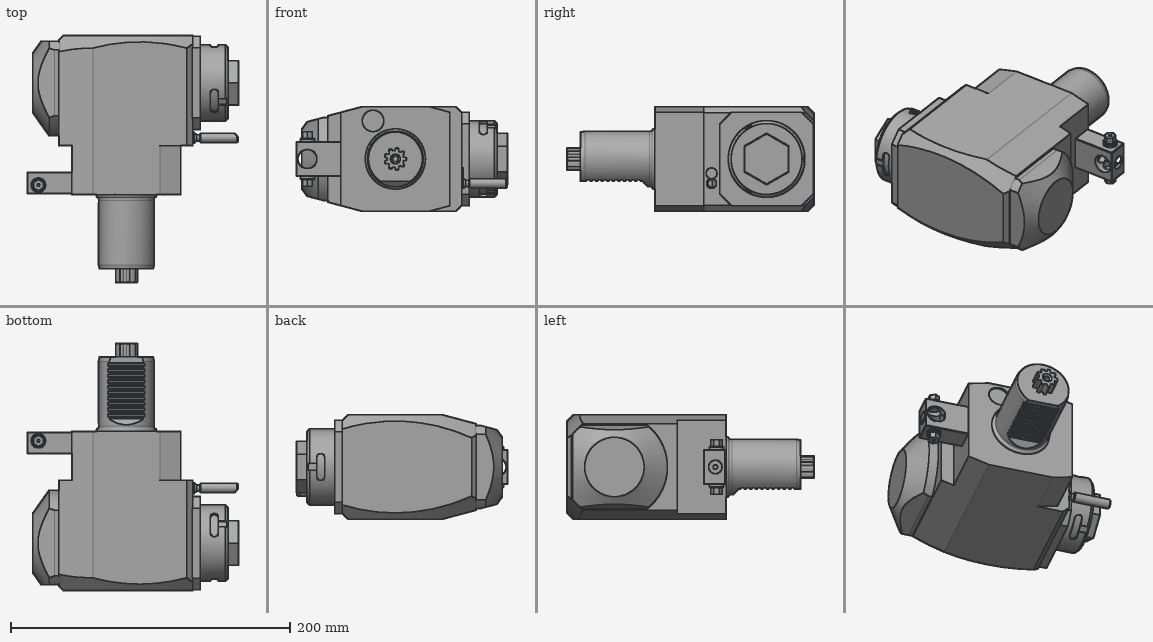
import cadquery as cq
import math


BODY_HALF_HEIGHT = 37.5
BACK_Y = 114.0
STEP_Y = 35.0
BLOCK_HALF_WIDTH = 39.0
HEAD_LEFT_X = -48.3
HEAD_RIGHT_X = 47.7
TAPER_START_X = 24.0
TAPER_SLOPE = math.tan(math.radians(15))
HEAD_CHAMFER = 4.4
LEFT_BACK_CHAMFER = 3.2
BARREL_RADIUS = 180.0
BARREL_MID_X = 9.5
BARREL_EDGE_LEG = 4.6

SPINDLE_Y = 80.0
CAP_RADIUS = 38.0
CAP_FACE_RADIUS = 21.3
CAP_CONE_X = -55.3
CAP_FACE_X = -67.1
CAP_BACK_Y = 110.0
CAP_HALF_HEIGHT = 29.8
CAP_TAPER_X = -51.5

PLATE_BACK_GAP = 0.5
PLATE_HALF = BACK_Y - SPINDLE_Y - PLATE_BACK_GAP
PLATE_CHAMFER = 8.4
PLATE_X = 53.1
NUT_RADIUS = 27.5
NUT_X = 72.9
NUT_CHAMFER = 2.1
HEX_FLATS = 32.0
HEX_X = 80.5
HEX_EDGE_CHAMFER = 0.4
SLOT_X = 63.0
SLOT_WIDTH = 5.5
SLOT_SPAN = 41.0
SLOT_DEPTH = 1.9
KEY_WIDTH = 5.0
KEY_DEPTH = 1.0
SLOT_ANGLES = (30, 150, 270)

PIN_Y = 40.6
PIN_Z = -17.5
PIN_RADIUS = 3.5
PIN_BASE_END_X = 50.4
PIN_NECK_RADIUS = 2.3
PIN_BODY_X = 53.3
PIN_END_X = 80.0
PIN_CHAMFER = 0.8
PIN_FLAT_LENGTH = 2.6
PIN_FLAT_DEPTH = 2.9
PLUG_Z = -10.3
PLUG_RADIUS = 3.9
PLUG_HEIGHT = 1.0

COOLANT_LEFT_X = -71.0
COOLANT_FRONT_Y = 0.6
COOLANT_BACK_Y = 16.0
COOLANT_HALF_HEIGHT = 12.5
COOLANT_EDGE = 0.4
COOLANT_HOLE_X = -63.0
COOLANT_HOLE_RADIUS = 6.8
INLET_Y = 7.7
INLET_RADIUS = 4.8
INLET_DEPTH = 18.0
DUCT_RADIUS = 1.6
SCREW_Y = 6.8
SCREW_WELL_RADIUS = 4.8
SCREW_WELL_HALF_HEIGHT = 10.0
COLLAR_RADIUS = 5.1
COLLAR_HEIGHT = 2.3
COLLAR_CHAMFER = 0.7
SCREW_FLATS = 7.0
SCREW_HEIGHT = 7.1
SCREW_BORE_RADIUS = 1.0
SCREW_BORE_DEPTH = 3.0

RECESS_X = -16.0
RECESS_Z = 27.3
RECESS_RADIUS = 7.7
RECESS_DEPTH = 1.2

SHANK_RADIUS = 20.0
SHANK_LENGTH = 53.3
SHANK_TIP_LENGTH = 3.0
SHANK_TIP_RADIUS = 19.3
FLANGE_RADIUS = 21.6
FLANGE_LENGTH = 3.9
FLANGE_CURVE_OFFSET = 0.3
RACK_Z = -15.8
RACK_START_Y = -9.0
RACK_PITCH = 4.0
RACK_GROOVES = 10
RACK_FIRST_Y = -11.7
RACK_DEPTH = 0.9
RACK_ROOT_WIDTH = 1.4
RACK_MOUTH_WIDTH = 3.0

GEAR_END = 63.0
GEAR_RADIUS = 8.1
GEAR_TEETH = 9
GEAR_ROOT_RADIUS = 5.9
GEAR_CHAMFER = 0.5
BORE_MOUTH_RADIUS = 3.5
BORE_RADIUS = 2.1
BORE_CONE_DEPTH = 1.3
BORE_DEPTH = 12.0

OVERLAP = 1.0
CLEAR = 60.0


def profile_along_y(points, y_start, y_end):
    """Solid of an X-Z outline running from y_start to y_end."""
    return cq.Workplane("XZ", origin=(0, y_start, 0)).polyline(points).close().extrude(y_start - y_end)


def across_x(points):
    """Solid of a Y-Z outline spanning the whole shank in X."""
    return cq.Workplane("YZ").polyline(points).close().extrude(FLANGE_RADIUS, both=True)


def cylinder(start, direction, radius, length):
    return cq.Workplane(cq.Solid.makeCylinder(radius, length, cq.Vector(*start), cq.Vector(*direction)))


def spindle_plane(x):
    """Sketch plane across the spindle axis: local x is +Y, local y is +Z."""
    return cq.Workplane("YZ", origin=(x, SPINDLE_Y, 0))


def taper_height(x):
    return BODY_HALF_HEIGHT - TAPER_SLOPE * (abs(x) - TAPER_START_X)


def mirrored_outline(upper):
    """Close an upper X-Z outline with its mirror image below Z = 0."""
    return upper + [(x, -z) for x, z in reversed(upper)]


def make_head():
    upper = [
        (HEAD_LEFT_X, taper_height(HEAD_LEFT_X)),
        (-TAPER_START_X, BODY_HALF_HEIGHT),
        (HEAD_RIGHT_X - HEAD_CHAMFER, BODY_HALF_HEIGHT),
        (HEAD_RIGHT_X, BODY_HALF_HEIGHT - HEAD_CHAMFER),
    ]
    head = profile_along_y(mirrored_outline(upper), STEP_Y, BACK_Y)
    head = head.edges("|Z and <X and >Y").chamfer(LEFT_BACK_CHAMFER)
    edge_distance = (BACK_Y + BODY_HALF_HEIGHT - BARREL_EDGE_LEG) / math.sqrt(2)
    axis_offset = (edge_distance - BARREL_RADIUS) / math.sqrt(2)
    half_length = BACK_Y + CLEAR
    shift = half_length / math.sqrt(2)
    for side in (1, -1):
        start = (BARREL_MID_X, axis_offset - shift, side * (axis_offset + shift))
        head = head.intersect(cylinder(start, (0, 1, -side), BARREL_RADIUS, 2 * half_length))
    return head


def make_block():
    upper = [
        (-BLOCK_HALF_WIDTH, taper_height(BLOCK_HALF_WIDTH)),
        (-TAPER_START_X, BODY_HALF_HEIGHT),
        (TAPER_START_X, BODY_HALF_HEIGHT),
        (BLOCK_HALF_WIDTH, taper_height(BLOCK_HALF_WIDTH)),
    ]
    block = profile_along_y(mirrored_outline(upper), 0, STEP_Y + OVERLAP)
    return block.cut(cylinder((RECESS_X, 0, RECESS_Z), (0, 1, 0), RECESS_RADIUS, RECESS_DEPTH))


def make_cap():
    inner_x = HEAD_LEFT_X + OVERLAP
    cap = (
        cq.Workplane("XY")
        .polyline([
            (inner_x, SPINDLE_Y),
            (inner_x, SPINDLE_Y + CAP_RADIUS),
            (CAP_CONE_X, SPINDLE_Y + CAP_RADIUS),
            (CAP_FACE_X, SPINDLE_Y + CAP_FACE_RADIUS),
            (CAP_FACE_X, SPINDLE_Y),
        ])
        .close()
        .revolve(360, (0, SPINDLE_Y, 0), (1, SPINDLE_Y, 0))
    )
    face_height = CAP_HALF_HEIGHT - TAPER_SLOPE * (CAP_TAPER_X - CAP_FACE_X)
    upper = [
        (CAP_FACE_X, face_height),
        (CAP_TAPER_X, CAP_HALF_HEIGHT),
        (inner_x, CAP_HALF_HEIGHT),
    ]
    return cap.intersect(profile_along_y(mirrored_outline(upper), 0, CAP_BACK_Y))


def nut_slot(angle):
    """Curved spanner slot with a keyway running to the nut's end face."""
    slot_length = 2 * NUT_RADIUS * math.sin(math.radians(SLOT_SPAN / 2))
    core = cylinder((0, SPINDLE_Y, 0), (1, 0, 0), NUT_RADIUS - SLOT_DEPTH, 2 * HEX_X)
    slot = (
        cq.Workplane("XY", origin=(SLOT_X, SPINDLE_Y, 0))
        .slot2D(slot_length, SLOT_WIDTH, 90)
        .extrude(CLEAR)
        .cut(core)
    )
    key_floor = NUT_RADIUS - KEY_DEPTH
    key = cq.Workplane("XY").box(NUT_X - SLOT_X, KEY_WIDTH, CLEAR, centered=(False, True, False))
    key = key.translate((SLOT_X, SPINDLE_Y, key_floor))
    return slot.union(key).rotate((0, SPINDLE_Y, 0), (1, SPINDLE_Y, 0), angle)


def make_nose():
    plate = (
        spindle_plane(HEAD_RIGHT_X - OVERLAP)
        .rect(2 * PLATE_HALF, 2 * PLATE_HALF)
        .extrude(PLATE_X - HEAD_RIGHT_X + OVERLAP)
        .edges("|X")
        .chamfer(PLATE_CHAMFER)
    )
    nut = spindle_plane(PLATE_X).circle(NUT_RADIUS).extrude(NUT_X - PLATE_X)
    nut = nut.faces(">X").chamfer(NUT_CHAMFER)
    for angle in SLOT_ANGLES:
        nut = nut.cut(nut_slot(angle))
    hexagon = (
        spindle_plane(NUT_X)
        .polygon(6, HEX_FLATS / math.cos(math.pi / 6))
        .extrude(HEX_X - NUT_X)
        .rotate((0, SPINDLE_Y, 0), (1, SPINDLE_Y, 0), 30)
        .faces(">X")
        .chamfer(HEX_EDGE_CHAMFER)
    )
    return plate.union(nut).union(hexagon)


def make_pin():
    pin = (
        cq.Workplane("XY")
        .polyline([
            (HEAD_RIGHT_X - OVERLAP, 0),
            (HEAD_RIGHT_X - OVERLAP, PIN_RADIUS),
            (HEAD_RIGHT_X + OVERLAP, PIN_RADIUS),
            (PIN_BASE_END_X, PIN_NECK_RADIUS),
            (PIN_BODY_X - PIN_CHAMFER, PIN_NECK_RADIUS),
            (PIN_BODY_X, PIN_RADIUS),
            (PIN_END_X - PIN_CHAMFER, PIN_RADIUS),
            (PIN_END_X, PIN_RADIUS - PIN_CHAMFER),
            (PIN_END_X, 0),
        ])
        .close()
        .revolve(360, (0, 0, 0), (1, 0, 0))
    )
    flat = (
        cq.Workplane("XY", origin=(0, 0, -PIN_RADIUS))
        .polyline([
            (PIN_END_X - PIN_FLAT_LENGTH, PIN_RADIUS),
            (PIN_END_X, PIN_RADIUS),
            (PIN_END_X, PIN_RADIUS - PIN_FLAT_DEPTH),
        ])
        .close()
        .extrude(2 * PIN_RADIUS)
    )
    pin = pin.cut(flat).translate((0, PIN_Y, PIN_Z))
    plug_start = (HEAD_RIGHT_X - OVERLAP, PIN_Y, PLUG_Z)
    return pin.union(cylinder(plug_start, (1, 0, 0), PLUG_RADIUS, PLUG_HEIGHT + OVERLAP))


def coolant_screw():
    """Hexagon screw on a collar, standing on Z = 0."""
    collar = cq.Workplane("XY").circle(COLLAR_RADIUS).extrude(COLLAR_HEIGHT)
    collar = collar.faces(">Z").chamfer(COLLAR_CHAMFER)
    head = (
        cq.Workplane("XY")
        .polygon(6, SCREW_FLATS / math.cos(math.pi / 6))
        .extrude(SCREW_HEIGHT)
        .rotate((0, 0, 0), (0, 0, 1), 30)
    )
    bore = cylinder((0, 0, SCREW_HEIGHT), (0, 0, -1), SCREW_BORE_RADIUS, SCREW_BORE_DEPTH)
    return collar.union(head).cut(bore)


def make_coolant_block():
    length = -BLOCK_HALF_WIDTH - COOLANT_LEFT_X
    depth = COOLANT_BACK_Y - COOLANT_FRONT_Y
    height = 2 * COOLANT_HALF_HEIGHT
    block = cq.Workplane("XY").box(length + OVERLAP, depth, height, centered=(False, False, True))
    block = block.translate((COOLANT_LEFT_X, COOLANT_FRONT_Y, 0))
    block = block.edges("<X or (|X)").chamfer(COOLANT_EDGE)
    block = block.cut(cylinder((COOLANT_HOLE_X, 0, 0), (0, 1, 0), COOLANT_HOLE_RADIUS, STEP_Y))
    block = block.cut(cylinder((COOLANT_LEFT_X, INLET_Y, 0), (1, 0, 0), INLET_RADIUS, INLET_DEPTH))
    block = block.cut(cylinder((COOLANT_LEFT_X, INLET_Y, 0), (1, 0, 0), DUCT_RADIUS, length))
    well_start = (COOLANT_HOLE_X, SCREW_Y, -SCREW_WELL_HALF_HEIGHT)
    block = block.cut(cylinder(well_start, (0, 0, 1), SCREW_WELL_RADIUS, 2 * SCREW_WELL_HALF_HEIGHT))
    screw = coolant_screw().translate((COOLANT_HOLE_X, SCREW_Y, COOLANT_HALF_HEIGHT))
    return block.union(screw).union(screw.mirror("XY"))


def make_shank():
    flange_curve = [
        (FLANGE_RADIUS - FLANGE_CURVE_OFFSET, FLANGE_CURVE_OFFSET - FLANGE_LENGTH / 2),
        (SHANK_RADIUS + FLANGE_CURVE_OFFSET, -FLANGE_CURVE_OFFSET - FLANGE_LENGTH / 2),
        (SHANK_RADIUS, -FLANGE_LENGTH),
    ]
    shank = (
        cq.Workplane("XY")
        .moveTo(0, OVERLAP)
        .lineTo(FLANGE_RADIUS, OVERLAP)
        .lineTo(FLANGE_RADIUS, 0)
        .spline(flange_curve, tangents=[(0, -1), (0, -1)], includeCurrent=True)
        .lineTo(SHANK_RADIUS, SHANK_TIP_LENGTH - SHANK_LENGTH)
        .lineTo(SHANK_TIP_RADIUS, -SHANK_LENGTH)
        .lineTo(0, -SHANK_LENGTH)
        .close()
        .revolve(360, (0, 0, 0), (0, 1, 0))
    )
    ramp = SHANK_RADIUS + RACK_Z
    rack = [
        (RACK_START_Y + ramp, -SHANK_RADIUS),
        (RACK_START_Y, RACK_Z),
        (-SHANK_LENGTH, RACK_Z),
        (-SHANK_LENGTH, -SHANK_RADIUS),
    ]
    shank = shank.cut(across_x(rack))
    for index in range(RACK_GROOVES):
        y = RACK_FIRST_Y - index * RACK_PITCH
        groove = [
            (y - RACK_MOUTH_WIDTH / 2, RACK_Z),
            (y - RACK_ROOT_WIDTH / 2, RACK_Z + RACK_DEPTH),
            (y + RACK_ROOT_WIDTH / 2, RACK_Z + RACK_DEPTH),
            (y + RACK_MOUTH_WIDTH / 2, RACK_Z),
        ]
        shank = shank.cut(across_x(groove))
    return shank


def make_gear():
    """Gear with round teeth and gaps: arcs that meet halfway up each flank."""
    step = 2 * math.pi / GEAR_TEETH
    flank_radius = (GEAR_RADIUS + GEAR_ROOT_RADIUS) / 2

    def polar(radius, angle):
        return (radius * math.cos(angle), radius * math.sin(angle))

    outline = cq.Workplane("XZ", origin=(0, OVERLAP - SHANK_LENGTH, 0)).moveTo(*polar(flank_radius, -step / 4))
    for index in range(GEAR_TEETH):
        angle = index * step
        outline = outline.threePointArc(polar(GEAR_RADIUS, angle), polar(flank_radius, angle + step / 4))
        outline = outline.threePointArc(
            polar(GEAR_ROOT_RADIUS, angle + step / 2), polar(flank_radius, angle + 3 * step / 4)
        )
    length = GEAR_END - SHANK_LENGTH + OVERLAP
    envelope = cylinder((0, OVERLAP - SHANK_LENGTH, 0), (0, -1, 0), GEAR_RADIUS, length)
    envelope = envelope.faces("<Y").chamfer(GEAR_CHAMFER)
    return outline.close().extrude(length).intersect(envelope)


def gear_bore():
    mouth = cq.Solid.makeCone(
        BORE_MOUTH_RADIUS, BORE_RADIUS, BORE_CONE_DEPTH, cq.Vector(0, -GEAR_END, 0), cq.Vector(0, 1, 0)
    )
    return cylinder((0, -GEAR_END, 0), (0, 1, 0), BORE_RADIUS, BORE_DEPTH).union(cq.Workplane(mouth))


result = make_head().union(make_block())
for feature in (make_cap(), make_nose(), make_pin(), make_coolant_block(), make_shank(), make_gear()):
    result = result.union(feature)
result = result.cut(gear_bore())